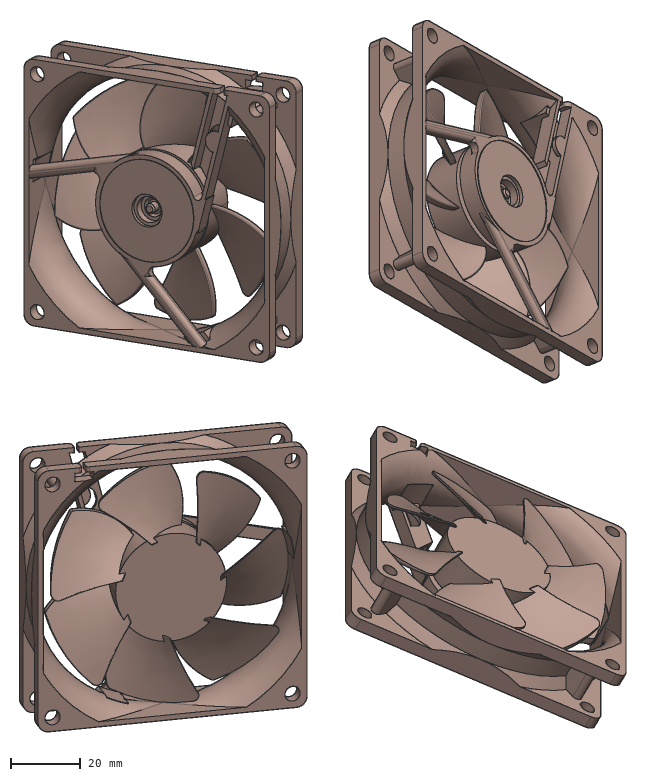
import cadquery as cq
import math

side = 80.0
depth = 20.0
front = -depth / 2
corner_radius = 3.2
flange_thick = 3.8
flange_inner = depth / 2 - flange_thick
mount_pitch = 71.4
mount_radius = 2.2

throat_radius = 38.4
mouth_radius = 44.2
opening = 2 * throat_radius
band_half = 3.0
band_radius = side / 2
cone_radius = 42.4

post_place = 32.2
post_radius = 1.6
web_inner = 38.4

base_radius = 16.6
base_thick = 5.6
label_radius = 15.3
label_depth = 0.2
step_radius = 4.9
step_depth = 1.4
well_radius = 3.9
well_depth = 4.0
bearing_radius = 2.2
bearing_depth = 4.8
bearing_chamfer = 0.7
shaft_radius = 1.5

strut_angles = (194.0, 314.2)
strut_width = 3.8
strut_depth = 2.4
strut_round = 1.5
strut_reach = 40.0
strut_fillet = 1.9
pad_overhang = 1.3
pad_inner = 28.0
pad_front = -7.6
pad_back = 2.0

channel_angle = 75.4
channel_outer = 16.9
channel_width = 7.0
channel_wall = 1.2
channel_depth = 4.8
channel_reach = 43.2
channel_end_outer = 14.0
channel_end_inner = 19.2
channel_fillet = 1.4
tab_place = 28.8
tab_radius = 3.3
tab_hole_radius = 4.2
tab_thick = 1.2

slit_width = 1.4
front_slit_x = 24.0
front_slit_round = 1.5
rear_slit_x = 26.2
rear_slit_round = 0.8
rear_window_width = 5.6
window_bottom = 35.8
window_top = opening / 2

hub_radius = 16.5
hub_front = -2.9
hub_back = 8.4
shaft_front = -8.2
shaft_chamfer = 0.5
blade_count = 7
blade_lead_thick = 2.1
blade_trail_thick = 0.6
blade_front = -1.1
blade_rise = 10.7
blade_span = 42.0
blade_root_radius = 15.2
blade_twist_root = 160.5
blade_cut_radius = 37.6
blade_twist_cut = 141.6
blade_tip_radius = 35.9
blade_corner_lead = 1.0
blade_corner_trail = 1.9
blade_edge_round = 0.2
blade_rail_steps = 5
lead_root_angle = 160.5
lead_tip_angle = 143.3
trail_root_angle = 118.0
trail_tip_angle = 101.2
lead_bulge = (-23.4, 11.3)
trail_bulge = (-7.7, 24.8)


def plate(back):
    """Workplane seen from the front: x is X, y is Z, extrusion goes toward -Y."""
    return cq.Workplane("XZ", origin=(0, back, 0))


def turned(shape, angle):
    """Turn a shape about the fan axis, counter-clockwise as seen from the front."""
    return shape.rotate((0, 0, 0), (0, -1, 0), angle)


def nearest(place, y):
    """Selector for the edge closest to a point given by its (x, z) place and its y."""
    return cq.selectors.NearestToPointSelector((place[0], y, place[1]))


def cylinder(radius, y_front, y_back):
    return plate(y_back).circle(radius).extrude(y_back - y_front)


def strut_block(u_range, v_range, y_range):
    """Box in strut coordinates: u along the strut, v across it, before turning."""
    size_u = u_range[1] - u_range[0]
    size_v = v_range[1] - v_range[0]
    size_y = y_range[1] - y_range[0]
    block = cq.Workplane("XY").box(size_u, size_y, size_v, centered=False)
    return block.translate((u_range[0], y_range[0], v_range[0]))


def frame_shell():
    """Two square flanges joined by the outer wall of the duct."""
    flange = plate(0).rect(side, side).extrude(flange_thick).edges("|Y").fillet(corner_radius)
    shell = flange.translate((0, front + flange_thick, 0))
    shell = shell.union(flange.translate((0, depth / 2, 0)))
    wall = (
        cq.Workplane("XY")
        .moveTo(0, -flange_inner)
        .lineTo(cone_radius, -flange_inner)
        .lineTo(band_radius, -band_half)
        .lineTo(band_radius, band_half)
        .lineTo(cone_radius, flange_inner)
        .lineTo(0, flange_inner)
        .close()
        .revolve(360, (0, 0, 0), (0, 1, 0))
    )
    return shell.union(wall.intersect(cq.Workplane("XY").box(side, depth, side)))


def corner_posts():
    """Round posts between the flanges, each tied to the duct by a diagonal web."""
    reach = post_place * math.sqrt(2)
    web = strut_block((web_inner, reach), (-post_radius, post_radius), (-flange_inner, flange_inner))
    post = cylinder(post_radius, -flange_inner, flange_inner).translate((reach, 0, 0))
    corner = web.union(post)
    posts = turned(corner, 45)
    for angle in (135, 225, 315):
        posts = posts.union(turned(corner, angle))
    return posts


def duct_void():
    """Flared passage with an arc profile, cut flat on its four sides."""
    flare = (
        cq.Workplane("XY")
        .moveTo(0, front)
        .lineTo(mouth_radius, front)
        .threePointArc((throat_radius, 0), (mouth_radius, -front))
        .lineTo(0, -front)
        .close()
        .revolve(360, (0, 0, 0), (0, 1, 0))
    )
    return flare.intersect(cq.Workplane("XY").box(opening, depth, opening))


def mount_holes():
    return (
        plate(depth / 2)
        .rect(mount_pitch, mount_pitch, forConstruction=True)
        .vertices()
        .circle(mount_radius)
        .extrude(depth)
    )


def corner_web(inner_v, radius, thick):
    """Filled corner with a concave round between the base and a strut's inner side."""
    centre_v = inner_v + radius
    centre_u = math.sqrt((base_radius + radius) ** 2 - centre_v ** 2)
    scale = (base_radius - strut_round) / (base_radius + radius)
    web = (
        plate(front + thick)
        .polyline([
            (centre_u, inner_v - strut_round),
            (centre_u, centre_v),
            (centre_u * scale, centre_v * scale),
            (0, inner_v - strut_round),
        ])
        .close()
        .extrude(thick)
    )
    return web.cut(cylinder(radius, front, front + thick).translate((centre_u, 0, centre_v)))


def mounting_pad(outer, width):
    """Raised pad that fills the flare up to the throat behind a strut's outer end."""
    across = (-outer - pad_overhang, -outer + width + pad_overhang)
    pad = strut_block((pad_inner, strut_reach), across, (pad_front, pad_back))
    return pad.cut(cylinder(throat_radius, front, -front))


def plain_strut():
    """Strut with rounded front edges, its corner web and its pad."""
    inner_v = -base_radius + strut_width
    bar = strut_block((0, strut_reach), (-base_radius, inner_v), (front, front + strut_depth))
    bar = bar.edges("|X and <Y").fillet(strut_round)
    web = corner_web(inner_v, strut_fillet, strut_depth)
    web = web.edges(nearest((base_radius, inner_v), front)).fillet(strut_round)
    bar = bar.union(web)
    return bar.union(mounting_pad(base_radius, strut_width))


def channel_strut():
    """Cable channel strut: solid outline with a slanted inner end; the trough is cut later."""
    free_v = -channel_outer + channel_width
    wall_v = -channel_outer + channel_wall
    body = (
        plate(front + channel_depth)
        .polyline([
            (0, -channel_outer),
            (channel_reach, -channel_outer),
            (channel_reach, free_v),
            (channel_end_inner, free_v),
            (channel_end_outer, wall_v),
            (0, wall_v),
        ])
        .close()
        .extrude(channel_depth)
    )
    body = body.union(corner_web(wall_v, channel_fillet, channel_depth))
    return body.union(mounting_pad(channel_outer, channel_width))


def channel_trough():
    """Trough between the channel walls, open at both ends, with the hole below the tab."""
    wall_v = -channel_outer + channel_wall
    free_v = -channel_outer + channel_width - channel_wall
    trough = strut_block((channel_end_outer, side), (wall_v, free_v), (front, -flange_inner))
    beyond_base = (
        plate(-flange_inner)
        .polyline([
            (channel_end_outer, wall_v),
            (side, wall_v),
            (side, free_v),
            (channel_end_inner - channel_wall, free_v),
        ])
        .close()
        .extrude(flange_thick)
    )
    trough = trough.intersect(beyond_base)
    tab_hole = cylinder(tab_hole_radius, front, 0).translate((tab_place, 0, wall_v))
    clear = strut_block((0, side), (wall_v, free_v), (front, 0))
    trough = turned(trough.union(tab_hole.intersect(clear)), channel_angle)
    below_edge = cq.Workplane("XY").box(2 * side, depth, 2 * window_top)
    return trough.intersect(below_edge)


def cable_tab():
    """Half-disc tab that reaches from the outer channel wall over the trough."""
    wall_v = -channel_outer + channel_wall
    tab = cylinder(tab_radius, front, front + tab_thick).translate((tab_place, 0, wall_v))
    reach = strut_block((0, side), (wall_v - channel_wall, 0), (front, 0))
    return turned(tab.intersect(reach), channel_angle)


def cable_slit(x, face, inward, rounding):
    """Slit through a flange's upper edge, with rounded lips on the outer face."""
    half = slit_width / 2
    mouth = half + rounding
    lip = rounding * (1 - math.sqrt(0.5))
    return (
        cq.Workplane("XY", origin=(x, face, window_top))
        .moveTo(-mouth, 0)
        .threePointArc((-half - lip, inward * lip), (-half, inward * rounding))
        .lineTo(-half, inward * flange_thick)
        .lineTo(half, inward * flange_thick)
        .lineTo(half, inward * rounding)
        .threePointArc((half + lip, inward * lip), (mouth, 0))
        .close()
        .extrude(side / 2 - window_top)
    )


def rear_window():
    """Rectangular window in the rear flange below its slit."""
    height = window_top - window_bottom
    window = cq.Workplane("XY").box(rear_window_width, flange_thick, height)
    return window.translate((rear_slit_x, depth / 2 - flange_thick / 2, window_bottom + height / 2))


def base_recesses():
    """Label recess, stepped well, chamfered bearing seat and shaft bore in the motor base."""
    seat = cylinder(bearing_radius + bearing_chamfer, front + well_depth, front + bearing_depth)
    seat = seat.faces(">Y").chamfer(bearing_chamfer)
    recess = cylinder(label_radius, front, front + label_depth)
    recess = recess.union(cylinder(step_radius, front, front + step_depth))
    recess = recess.union(cylinder(well_radius, front, front + well_depth))
    return recess.union(seat).union(cylinder(shaft_radius, front, front + base_thick))


def make_struts():
    """All three struts, still running past the duct wall."""
    struts = turned(channel_strut(), channel_angle)
    for angle in strut_angles:
        struts = struts.union(turned(plain_strut(), angle))
    return struts


def make_frame():
    shell = frame_shell()
    frame = shell.union(corner_posts()).cut(duct_void()).cut(mount_holes())
    frame = frame.union(cylinder(base_radius, front, front + base_thick))
    frame = frame.union(make_struts().intersect(shell))
    frame = frame.cut(channel_trough()).union(cable_tab())
    frame = frame.cut(cable_slit(front_slit_x, front, 1, front_slit_round))
    frame = frame.cut(cable_slit(rear_slit_x, -front, -1, rear_slit_round))
    return frame.cut(rear_window()).cut(base_recesses())


def polar(radius, angle):
    return (radius * math.cos(math.radians(angle)), radius * math.sin(math.radians(angle)))


def blade_rail(radius, lead, lead_y, trail_y):
    """Helical edge that overruns the blade width by one step at both ends."""
    points = []
    for step in range(-1, blade_rail_steps + 2):
        share = step / blade_rail_steps
        x, z = polar(radius, lead - blade_span * share)
        points.append(cq.Vector(x, lead_y + (trail_y - lead_y) * share, z))
    return cq.Edge.makeSpline(points)


def blade_side(lead_y, trail_y, travel):
    """Twisted ruled surface swept along the axis by the given travel."""
    root = blade_rail(blade_root_radius - 0.8, blade_twist_root, lead_y, trail_y)
    cut = blade_rail(blade_cut_radius, blade_twist_cut, lead_y, trail_y)
    surface = cq.Face.makeRuledSurface(root, cut)
    return cq.Workplane(cq.Solid.extrudeLinear(surface, cq.Vector(0, travel, 0)))


def blade_outline():
    """Front outline of one blade, extruded through the full depth."""
    tip_lead = polar(blade_tip_radius, lead_tip_angle)
    tip_mid = polar(blade_tip_radius, (lead_tip_angle + trail_tip_angle) / 2)
    tip_trail = polar(blade_tip_radius, trail_tip_angle)
    root_lead = polar(blade_root_radius, lead_root_angle)
    root_trail = polar(blade_root_radius, trail_root_angle)
    return (
        plate(depth)
        .moveTo(*root_lead)
        .threePointArc(lead_bulge, tip_lead)
        .threePointArc(tip_mid, tip_trail)
        .threePointArc(trail_bulge, root_trail)
        .close()
        .extrude(2 * depth)
        .edges(nearest(tip_lead, 0))
        .fillet(blade_corner_lead)
        .edges(nearest(tip_trail, 0))
        .fillet(blade_corner_trail)
    )


def make_blade():
    """Twisted blade that thins from its leading edge to its trailing edge, with a softened rim."""
    trail = blade_front + blade_rise
    behind_front = blade_side(blade_front, trail, depth)
    before_back = blade_side(blade_front + blade_lead_thick, trail + blade_trail_thick, -depth)
    blade = blade_outline().intersect(behind_front).intersect(before_back)
    blade = blade.edges(nearest(lead_bulge, -depth)).fillet(blade_edge_round)
    return blade.edges(nearest(lead_bulge, depth)).fillet(blade_edge_round)


def make_rotor():
    rotor = cylinder(hub_radius, hub_front, hub_back)
    shaft = cylinder(shaft_radius, shaft_front, hub_back).faces("<Y").chamfer(shaft_chamfer)
    rotor = rotor.union(shaft)
    blade = make_blade()
    for index in range(blade_count):
        rotor = rotor.union(turned(blade, index * 360 / blade_count))
    return rotor


frame = make_frame()
rotor = make_rotor()
result = cq.Compound.makeCompound([frame.val(), rotor.val()])